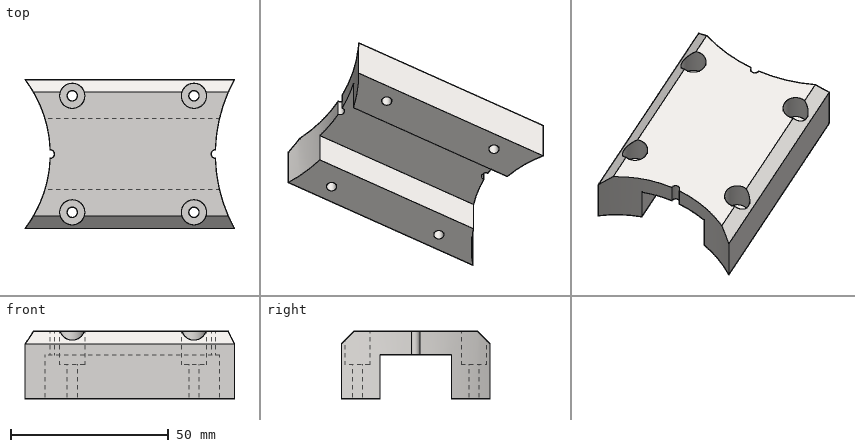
import cadquery as cq

length = 66.5
width = 47.3
height = 21.5

channel_width = 22.55
top_thickness = 7.5
bevel = 4.0

left_end_depth = 8.0
right_end_depth = 6.05
notch_radius = 1.3

screw_spacing_x = 38.65
screw_spacing_y = 37.0
screw_offset_x = 1.05
screw_diameter = 3.2
counterbore_diameter = 8.0
counterbore_depth = 10.65

half_length = length / 2
half_width = width / 2
left_apex_x = -half_length + left_end_depth
right_apex_x = half_length - right_end_depth


def make_curved_plate():
    """Full-height plate with both ends cut in by an arc."""
    return (
        cq.Workplane("XY")
        .moveTo(-half_length, -half_width)
        .lineTo(half_length, -half_width)
        .threePointArc((right_apex_x, 0), (half_length, half_width))
        .lineTo(-half_length, half_width)
        .threePointArc((left_apex_x, 0), (-half_length, -half_width))
        .close()
        .extrude(height)
    )


def make_bridge_section():
    """Bevelled block with a channel along X, open at the bottom."""
    block = cq.Workplane("XY").box(length, width, height, centered=(True, True, False))
    block = block.faces(">Z").edges("|X").chamfer(bevel)
    channel = cq.Workplane("XY").box(
        length, channel_width, height - top_thickness, centered=(True, True, False)
    )
    return block.cut(channel)


def cut_notches(body):
    """Round vertical notch at the deepest point of each curved end."""
    notches = (
        cq.Workplane("XY")
        .pushPoints([(left_apex_x, 0), (right_apex_x, 0)])
        .circle(notch_radius)
        .extrude(height)
    )
    return body.cut(notches)


def cut_screw_holes(body):
    """Four through holes down the legs, counterbored from the top."""
    return (
        body.faces(">Z")
        .workplane(origin=(screw_offset_x, 0, height))
        .rarray(screw_spacing_x, screw_spacing_y, 2, 2)
        .cboreHole(screw_diameter, counterbore_diameter, counterbore_depth)
    )


body = make_curved_plate().intersect(make_bridge_section())
body = cut_notches(body)
result = cut_screw_holes(body)